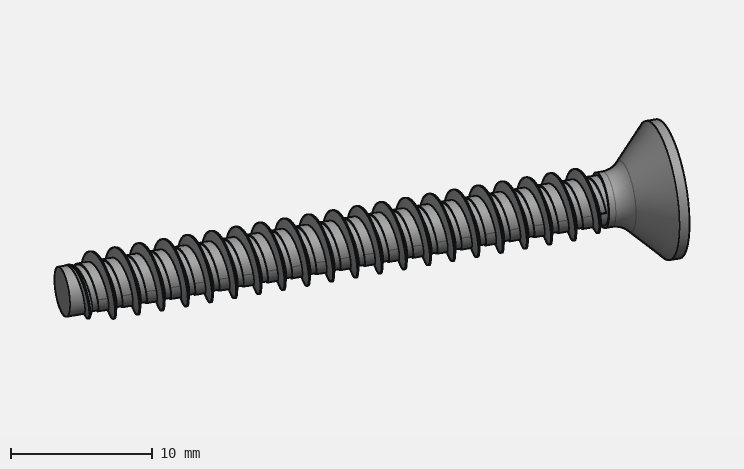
import cadquery as cq
import math

SCREW_LENGTH = 45.0
HEAD_RADIUS = 5.0
HEAD_RIM = 0.75
HEAD_HEIGHT = 3.2
HEAD_HALF_ANGLE = 45.0

NECK_RADIUS = 2.0
NECK_END = 5.0
CORE_RADIUS = 1.8

THREAD_PITCH = 1.8
THREAD_TURNS = 22
THREAD_START = NECK_END
CREST_RADIUS = 2.5
CREST_WIDTH = 0.1
ROOT_WIDTH = 0.7
ROOT_RADIUS = CORE_RADIUS - 0.15
FADED_CREST_RADIUS = CORE_RADIUS - 0.075
RUN_IN_TURNS = 0.5
RUN_OUT_TURNS = 1.1
POINTS_PER_TURN = 8

GROOVE_DEPTH = 0.08
GROOVE_FAR_OFFSET = -0.75
GROOVE_NEAR_OFFSET = -0.2
GROOVE_CLEARANCE = 0.1


def make_body():
    """Countersunk head, filleted neck and core as one turned body."""
    slope = math.radians(HEAD_HALF_ANGLE)
    cone_end_radius = HEAD_RADIUS - (HEAD_HEIGHT - HEAD_RIM) * math.tan(slope)
    fillet_radius = (cone_end_radius - NECK_RADIUS) / (1 - math.cos(slope))
    fillet_centre = (NECK_RADIUS + fillet_radius, -HEAD_HEIGHT - fillet_radius * math.sin(slope))
    fillet_middle = (
        fillet_centre[0] - fillet_radius * math.cos(slope / 2),
        fillet_centre[1] + fillet_radius * math.sin(slope / 2),
    )
    return (
        cq.Workplane("XY")
        .lineTo(HEAD_RADIUS, 0)
        .lineTo(HEAD_RADIUS, -HEAD_RIM)
        .lineTo(cone_end_radius, -HEAD_HEIGHT)
        .threePointArc(fillet_middle, (NECK_RADIUS, fillet_centre[1]))
        .lineTo(NECK_RADIUS, -NECK_END)
        .lineTo(CORE_RADIUS, -NECK_END)
        .lineTo(CORE_RADIUS, -SCREW_LENGTH)
        .lineTo(0, -SCREW_LENGTH)
        .close()
        .revolve(360, (0, 0, 0), (0, 1, 0))
    )


def crest_radius(turn):
    """The crest rises out of the core at the head end and sinks back into it at the tip."""
    fade = min(1, turn / RUN_IN_TURNS, (THREAD_TURNS - turn) / RUN_OUT_TURNS)
    return FADED_CREST_RADIUS + fade * (CREST_RADIUS - FADED_CREST_RADIUS)


def root_radius(turn):
    """The thread roots lie inside the core so that the two bodies overlap."""
    return ROOT_RADIUS


def groove_floor_radius(turn):
    return CORE_RADIUS - GROOVE_DEPTH


def groove_mouth_radius(turn):
    """The groove cutter reaches a little outside the core so that it cuts cleanly."""
    return CORE_RADIUS + GROOVE_CLEARANCE


def helical_rail(radius_at, axial_offset, first_turn):
    """A right-hand helix around the screw axis, cut into one edge per turn.

    Turn zero lies on the -X side.
    """
    points = []
    turns = []
    for step in range(int((THREAD_TURNS - first_turn) * POINTS_PER_TURN) + 1):
        turn = first_turn + step / POINTS_PER_TURN
        angle = math.pi + 2 * math.pi * turn
        radius = radius_at(turn)
        depth = THREAD_START + THREAD_PITCH * turn + axial_offset
        points.append(cq.Vector(radius * math.cos(angle), -depth, radius * math.sin(angle)))
        turns.append(turn)
    rail = cq.Edge.makeSpline(points, parameters=turns)
    first_cut = math.floor(first_turn) + 1
    cuts = [first_turn, *range(first_cut, THREAD_TURNS + 1)]
    return [rail.trim(begin, end) for begin, end in zip(cuts, cuts[1:])]


def helical_solid(corners, first_turn):
    """A helical bar whose section has the given (radius function, axial offset) corners."""
    rails = [helical_rail(radius_at, offset, first_turn) for radius_at, offset in corners]
    next_rails = rails[1:] + rails[:1]
    faces = []
    for rail, next_rail in zip(rails, next_rails):
        for edge, next_edge in zip(rail, next_rail):
            faces.append(cq.Face.makeRuledSurface(edge, next_edge))
    start_corners = [rail[0].startPoint() for rail in rails]
    end_corners = [rail[-1].endPoint() for rail in rails]
    for end_face_corners in (start_corners, end_corners):
        faces.append(cq.Face.makeFromWires(cq.Wire.makePolygon(end_face_corners, close=True)))
    solid = cq.Solid.makeSolid(cq.Shell.makeShell(faces))
    return cq.Workplane(obj=solid)


def make_thread():
    corners = [
        (root_radius, -ROOT_WIDTH / 2),
        (crest_radius, -CREST_WIDTH / 2),
        (crest_radius, CREST_WIDTH / 2),
        (root_radius, ROOT_WIDTH / 2),
    ]
    return helical_solid(corners, first_turn=0)


def make_groove_cutter():
    """The groove starts after the thread run-in, which keeps it clear of the neck."""
    corners = [
        (groove_mouth_radius, GROOVE_FAR_OFFSET),
        (groove_mouth_radius, GROOVE_NEAR_OFFSET),
        (groove_floor_radius, GROOVE_NEAR_OFFSET),
        (groove_floor_radius, GROOVE_FAR_OFFSET),
    ]
    return helical_solid(corners, first_turn=RUN_IN_TURNS)


result = make_body().cut(make_groove_cutter()).union(make_thread())